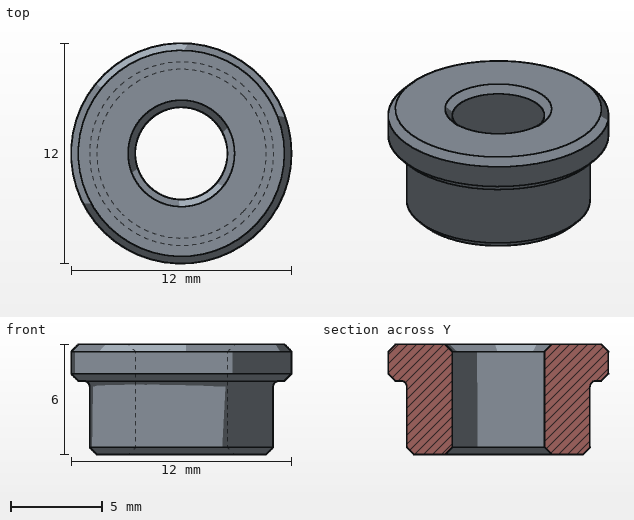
import cadquery as cq

flange_diameter = 12.0
body_diameter = 10.0
bore_diameter = 5.0
total_height = 6.0
flange_thickness = 2.0

edge_chamfer = 0.4
neck_fillet = 0.3

flange_bottom = total_height - flange_thickness


def bushing_blank():
    """Revolved body and chamfered flange, with a concave fillet at the neck."""
    flange_radius = flange_diameter / 2
    body_radius = body_diameter / 2
    return (
        cq.Workplane("XZ")
        .moveTo(0, 0)
        .lineTo(body_radius - edge_chamfer, 0)
        .lineTo(body_radius, edge_chamfer)
        .lineTo(body_radius, flange_bottom - neck_fillet)
        .radiusArc((body_radius + neck_fillet, flange_bottom), neck_fillet)
        .lineTo(flange_radius - edge_chamfer, flange_bottom)
        .lineTo(flange_radius, flange_bottom + edge_chamfer)
        .lineTo(flange_radius, total_height - edge_chamfer)
        .lineTo(flange_radius - edge_chamfer, total_height)
        .lineTo(0, total_height)
        .close()
        .revolve(360, (0, 0, 0), (0, 1, 0))
    )


def bore_cutter():
    """Through bore with a countersunk mouth at both ends."""
    bore_radius = bore_diameter / 2
    mouth_radius = bore_radius + edge_chamfer
    return (
        cq.Workplane("XZ")
        .polyline([
            (0, 0),
            (mouth_radius, 0),
            (bore_radius, edge_chamfer),
            (bore_radius, total_height - edge_chamfer),
            (mouth_radius, total_height),
            (0, total_height),
        ])
        .close()
        .revolve(360, (0, 0, 0), (0, 1, 0))
    )


result = bushing_blank().cut(bore_cutter())